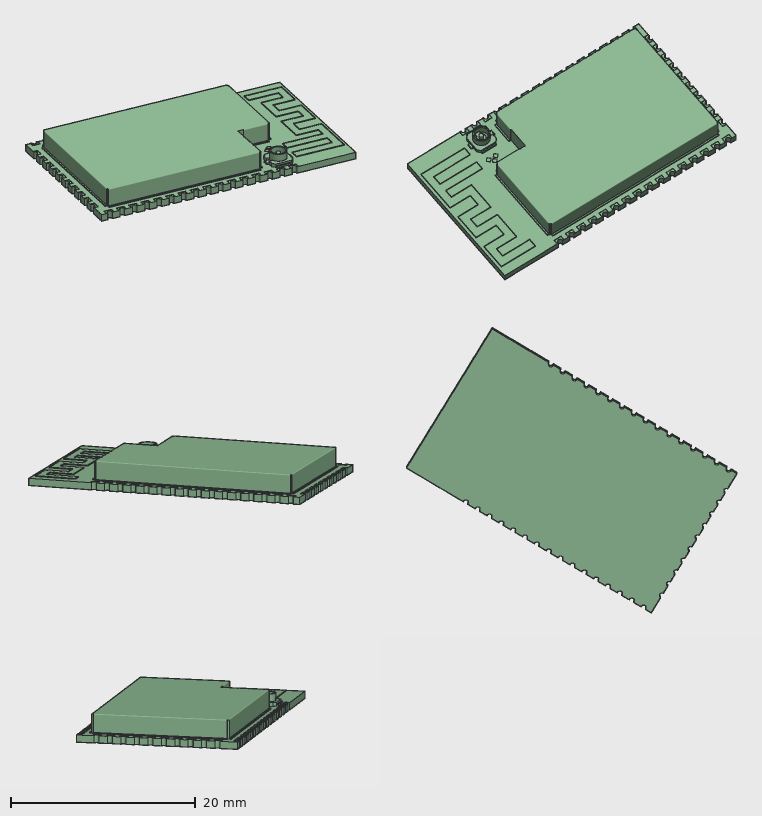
import cadquery as cq

BOARD_WIDTH = 17.98
BOARD_LENGTH = 31.0
BOARD_THICKNESS = 0.8
OVERALL_HEIGHT = 2.9

HALF_WIDTH = BOARD_WIDTH / 2
HALF_LENGTH = BOARD_LENGTH / 2

SIDE_HOLES = 16
END_HOLES = 10
FIRST_SIDE_HOLE_Y = 8.03
LAST_SIDE_HOLE_Y = -14.48
HOLE_PITCH = (FIRST_SIDE_HOLE_Y - LAST_SIDE_HOLE_Y) / (SIDE_HOLES - 1)
FIRST_END_HOLE_X = -HOLE_PITCH * (END_HOLES - 1) / 2
HOLE_RADIUS = 0.28
SIDE_HOLE_INSET = 0.05
PAD_WIDTH = 0.9
PAD_REACH = 0.5
PAD_RISE = 0.03

TEST_PAD_SIDE = 0.45
TEST_PAD_X = 3.75
TEST_PAD_Y = 7.6
TEST_PAD_STEP = 0.45

ANTENNA_THICKNESS = 0.1
ANTENNA_TOP = 15.13
ANTENNA_LOOP_BOTTOM = 11.5
ANTENNA_OPEN_END = 10.57
ANTENNA_FEED_END = 9.3
LEG_WIDTH = 1.05
LINK_WIDTH = 0.93
LEG_LEFT_EDGES = [-7.85, -5.67, -3.15, -0.9, 1.6, 3.7, 5.92]

FLAP_THICKNESS = 0.1
FLAP_END_GAP = 0.12
FOOT_LENGTH = 0.2
FOOT_THICKNESS = 0.1
SHIELD_HEIGHT = OVERALL_HEIGHT - BOARD_THICKNESS
CORE_RIGHT = 7.6
CORE_LEFT = -CORE_RIGHT
CORE_FRONT = -14.0
CORE_BACK = 8.4
NOTCH_X = 2.25
NOTCH_Y = 4.6
NOTCH_SIDE_FLAP_START = 5.25
NOTCH_BACK_FLAP_START = 4.87

CONNECTOR_X = 6.75
CONNECTOR_Y = 7.2
BASE_SIZE = 2.6
BASE_HEIGHT = 0.4
BASE_CHAMFER = 0.35
TERMINAL_HEIGHT = 0.2
SIDE_TERMINAL_SPAN = 2.98
SIDE_TERMINAL_WIDTH = 1.9
END_TERMINAL_SPAN = 3.13
END_TERMINAL_WIDTH = 0.62
RING_OUTER_RADIUS = 0.95
RING_INNER_RADIUS = 0.8
RING_HEIGHT = 1.25
FLOOR_RAISE = 0.1
BOSS_RADIUS = 0.53
BAR_WIDTH = 0.62
PIN_RADIUS = 0.25
PIN_HEIGHT = 1.1
PIN_ROUNDING = PIN_RADIUS / 2


def block(x_min, x_max, y_min, y_max, z_min, height):
    """Upright box given by its limits in X and Y, its floor and its height."""
    return cq.Workplane("XY").box(
        x_max - x_min, y_max - y_min, height, centered=False
    ).translate((x_min, y_min, z_min))


def on_board(x, y):
    """Workplane on the board's upper face with its origin at (x, y)."""
    return cq.Workplane("XY", origin=(x, y, BOARD_THICKNESS))


def make_antenna():
    """Legs along Y, joined in turn at their upper and lower ends."""
    leg_ends = [ANTENNA_OPEN_END] + [ANTENNA_LOOP_BOTTOM] * 4 + [ANTENNA_FEED_END] * 2
    antenna = None
    for left, end in zip(LEG_LEFT_EDGES, leg_ends):
        leg = block(left, left + LEG_WIDTH, end, ANTENNA_TOP, BOARD_THICKNESS, ANTENNA_THICKNESS)
        antenna = leg if antenna is None else antenna.union(leg)

    upper = ANTENNA_TOP - LINK_WIDTH
    lower = ANTENNA_LOOP_BOTTOM
    links = [(0, 1, upper), (1, 2, lower), (2, 3, upper), (3, 4, lower), (4, 6, upper)]
    for first, last, bottom in links:
        left = LEG_LEFT_EDGES[first]
        right = LEG_LEFT_EDGES[last] + LEG_WIDTH
        link = block(left, right, bottom, bottom + LINK_WIDTH, BOARD_THICKNESS, ANTENNA_THICKNESS)
        antenna = antenna.union(link)
    return antenna


def make_pads(side_ys, end_xs):
    """Plated edge blocks through the full board thickness and three thin turned test pads."""
    plating_height = BOARD_THICKNESS + PAD_RISE
    side_reach = SIDE_HOLE_INSET + PAD_REACH
    side_xs = [-HALF_WIDTH + side_reach / 2, HALF_WIDTH - side_reach / 2]
    side_pads = (
        cq.Workplane("XY")
        .pushPoints([(x, y) for x in side_xs for y in side_ys])
        .rect(side_reach, PAD_WIDTH)
        .extrude(plating_height)
    )
    end_pads = (
        cq.Workplane("XY")
        .pushPoints([(x, -HALF_LENGTH + PAD_REACH / 2) for x in end_xs])
        .rect(PAD_WIDTH, PAD_REACH)
        .extrude(plating_height)
    )
    pads = side_pads.union(end_pads)
    test_pad_places = [
        (TEST_PAD_X, TEST_PAD_Y),
        (TEST_PAD_X + TEST_PAD_STEP, TEST_PAD_Y + TEST_PAD_STEP),
        (TEST_PAD_X + TEST_PAD_STEP, TEST_PAD_Y - TEST_PAD_STEP),
    ]
    for x, y in test_pad_places:
        test_pad = on_board(x, y).rect(TEST_PAD_SIDE, TEST_PAD_SIDE).extrude(PAD_RISE)
        pads = pads.union(test_pad.rotate((x, y, 0), (x, y, 1), 45))
    return pads


def make_board():
    """Board with plated half holes; clean=False keeps the seams beside the edge plating."""
    side_ys = [FIRST_SIDE_HOLE_Y - i * HOLE_PITCH for i in range(SIDE_HOLES)]
    end_xs = [FIRST_END_HOLE_X + i * HOLE_PITCH for i in range(END_HOLES)]
    board = block(-HALF_WIDTH, HALF_WIDTH, -HALF_LENGTH, HALF_LENGTH, 0, BOARD_THICKNESS)
    board = board.union(make_antenna())
    board = board.union(make_pads(side_ys, end_xs), clean=False)

    side_hole_x = HALF_WIDTH - SIDE_HOLE_INSET
    hole_places = [(x, y) for x in (-side_hole_x, side_hole_x) for y in side_ys]
    hole_places += [(x, -HALF_LENGTH) for x in end_xs]
    holes = (
        cq.Workplane("XY")
        .pushPoints(hole_places)
        .circle(HOLE_RADIUS)
        .extrude(BOARD_THICKNESS + PAD_RISE)
    )
    return board.cut(holes, clean=False)


def make_flap(length):
    """Flap along +X from the origin, on the -Y side, with a rounded bend and a foot.

    The bend's radius equals the flap thickness.
    """
    foot_end = FLAP_THICKNESS + FOOT_LENGTH
    bend_start = SHIELD_HEIGHT - FLAP_THICKNESS
    section = (
        cq.Workplane("YZ")
        .lineTo(-foot_end, 0)
        .lineTo(-foot_end, FOOT_THICKNESS)
        .lineTo(-FLAP_THICKNESS, FOOT_THICKNESS)
        .lineTo(-FLAP_THICKNESS, bend_start)
        .radiusArc((0, SHIELD_HEIGHT), FLAP_THICKNESS)
        .close()
    )
    return section.extrude(length)


def make_shield():
    """L-shaped core with one flap on each of its six walls."""
    core = block(CORE_LEFT, CORE_RIGHT, CORE_FRONT, CORE_BACK, BOARD_THICKNESS, SHIELD_HEIGHT)
    corner = block(NOTCH_X, CORE_RIGHT, NOTCH_Y, CORE_BACK, BOARD_THICKNESS, SHIELD_HEIGHT)
    shield = core.cut(corner)

    flap_left = CORE_LEFT + FLAP_END_GAP
    flap_right = CORE_RIGHT - FLAP_END_GAP
    flap_back = CORE_BACK - FLAP_END_GAP
    notch_flap_x = NOTCH_X - FLAP_END_GAP
    notch_flap_y = NOTCH_Y - FLAP_END_GAP
    flaps = [
        (flap_left, CORE_FRONT, flap_right - flap_left, 0),
        (CORE_RIGHT, CORE_FRONT, notch_flap_y - CORE_FRONT, 90),
        (flap_right, NOTCH_Y, flap_right - NOTCH_BACK_FLAP_START, 180),
        (NOTCH_X, NOTCH_SIDE_FLAP_START, flap_back - NOTCH_SIDE_FLAP_START, 90),
        (notch_flap_x, CORE_BACK, notch_flap_x - flap_left, 180),
        (CORE_LEFT, flap_back, flap_back - CORE_FRONT, 270),
    ]
    for x, y, length, turn in flaps:
        flap = make_flap(length).rotate((0, 0, 0), (0, 0, 1), turn)
        shield = shield.union(flap.translate((x, y, BOARD_THICKNESS)))
    return shield


def make_connector():
    """Square base with four low terminals, a tubular shell and a rounded centre pin."""
    place = on_board(CONNECTOR_X, CONNECTOR_Y)
    base = place.rect(BASE_SIZE, BASE_SIZE).extrude(BASE_HEIGHT).edges("|Z").chamfer(BASE_CHAMFER)
    side_terminals = place.rect(SIDE_TERMINAL_SPAN, SIDE_TERMINAL_WIDTH).extrude(TERMINAL_HEIGHT)
    end_terminals = place.rect(END_TERMINAL_WIDTH, END_TERMINAL_SPAN).extrude(TERMINAL_HEIGHT)

    channel = block(
        CONNECTOR_X - END_TERMINAL_WIDTH / 2,
        CONNECTOR_X + END_TERMINAL_WIDTH / 2,
        CONNECTOR_Y - BASE_SIZE / 2,
        CONNECTOR_Y - RING_INNER_RADIUS,
        BOARD_THICKNESS + TERMINAL_HEIGHT,
        BASE_HEIGHT - TERMINAL_HEIGHT,
    )

    shell = place.circle(RING_OUTER_RADIUS).circle(RING_INNER_RADIUS).extrude(RING_HEIGHT)
    boss = place.circle(BOSS_RADIUS).extrude(BASE_HEIGHT + FLOOR_RAISE)
    bar = place.rect(2 * RING_INNER_RADIUS, BAR_WIDTH).extrude(BASE_HEIGHT + FLOOR_RAISE)
    pin = place.circle(PIN_RADIUS).extrude(PIN_HEIGHT).faces(">Z").edges().fillet(PIN_ROUNDING)

    connector = base.cut(channel)
    for feature in (side_terminals, end_terminals, shell, boss, bar, pin):
        connector = connector.union(feature)
    return connector


board = make_board()
shield = make_shield()
connector = make_connector()

result = cq.Compound.makeCompound([board.val(), shield.val(), connector.val()])